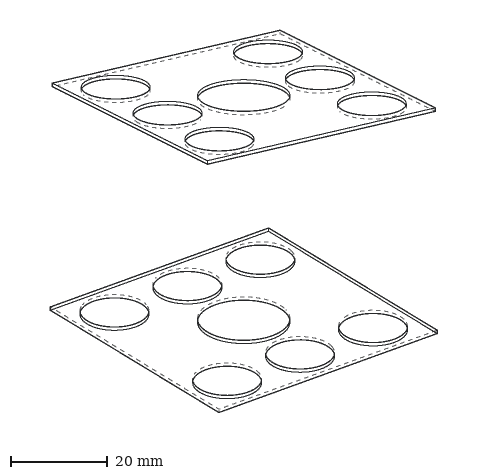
import cadquery as cq

side = 56.9
thickness = 0.8

center_hole_diameter = 19.05
row_hole_diameter = 14.2
hole_pitch = 19.0

row_hole_centers = [
    (column * hole_pitch, row * hole_pitch)
    for row in (-1, 1)
    for column in (-1, 0, 1)
]

plate = cq.Workplane("XY").box(side, side, thickness)

plate = plate.faces(">Z").workplane().hole(center_hole_diameter)
result = plate.faces(">Z").workplane().pushPoints(row_hole_centers).hole(row_hole_diameter)